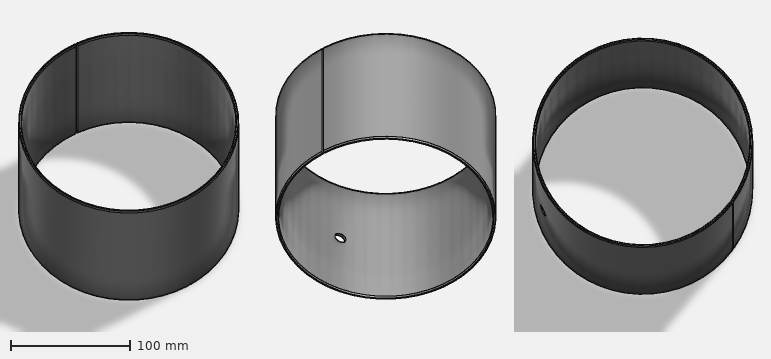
import cadquery as cq

outer_diameter = 185.0
height = 130.0
inner_diameter = 180.0
chamfer_width = 0.7
chamfer_height = 1.7
hole_diameter = 10.0

slit_angle = 1.0
slit_to_hole_angle = 120.0
slit_centre = 180.0 - slit_angle / 2
hole_angle = slit_centre - slit_to_hole_angle

outer_radius = outer_diameter / 2
inner_radius = inner_diameter / 2
half_height = height / 2


def rotate_about_axis(body, angle):
    return body.rotate((0, 0, 0), (0, 0, 1), angle)


def make_split_sleeve():
    """Chamfered wall section swept around Z, leaving the slit open."""
    rim_outer_radius = outer_radius - chamfer_width
    rim_inner_radius = inner_radius + chamfer_width
    chamfer_start = half_height - chamfer_height
    section = [
        (outer_radius, -chamfer_start),
        (outer_radius, chamfer_start),
        (rim_outer_radius, half_height),
        (rim_inner_radius, half_height),
        (inner_radius, chamfer_start),
        (inner_radius, -chamfer_start),
        (rim_inner_radius, -half_height),
        (rim_outer_radius, -half_height),
    ]
    ring = (
        cq.Workplane("XZ")
        .polyline(section)
        .close()
        .revolve(360.0 - slit_angle, (0, 0, 0), (0, 1, 0))
    )
    return rotate_about_axis(ring, 180.0)


def make_hole_cutter():
    """Radial cylinder at mid-height, piercing one side of the wall."""
    cutter = cq.Workplane("YZ").circle(hole_diameter / 2).extrude(outer_diameter)
    return rotate_about_axis(cutter, hole_angle)


result = make_split_sleeve().cut(make_hole_cutter())